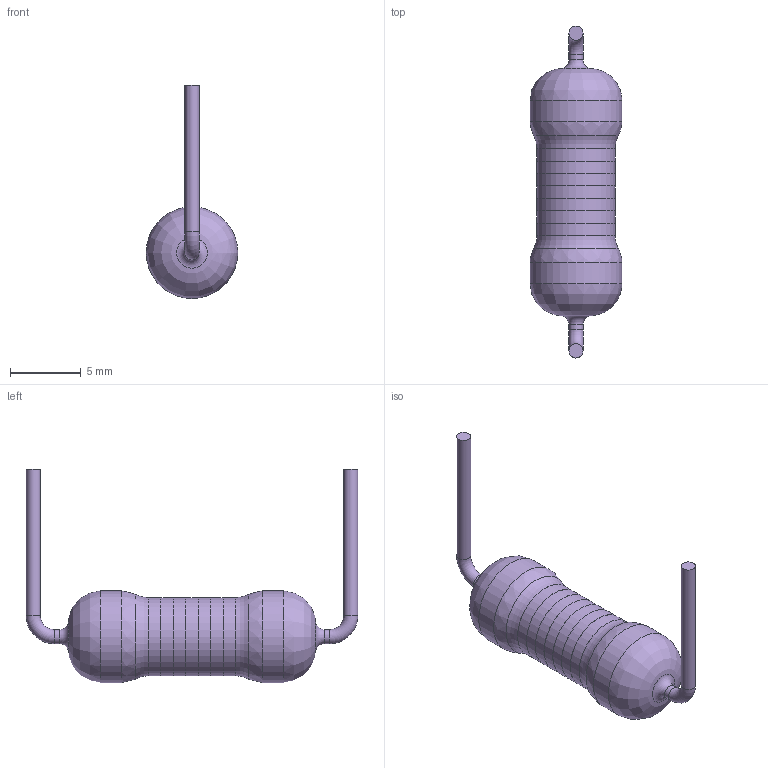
import cadquery as cq
import math


cap_radius = 6.5 / 2
core_radius = 5.53 / 2
body_half_length = 8.75
dome_radius = 2.25
cap_inner_y = 5.0
shoulder_radius = 2.1
core_fillet_radius = 2.0

band_radius = 5.54 / 2
band_count = 4
band_width = 0.88
band_pitch = 2 * band_width

lead_radius = 1.0 / 2
neck_fillet_radius = 0.625
lead_spacing = 22.5
bend_radius = 1.5
lead_top_z = 11.85


def arc_point(center, radius, angle):
    """Point (radial distance, y) on a circle; the angle starts at the radial direction."""
    return (center[0] + radius * math.cos(angle), center[1] + radius * math.sin(angle))


dome_center = (cap_radius - dome_radius, body_half_length - dome_radius)
neck_center_r = lead_radius + neck_fillet_radius
neck_angle = math.acos((neck_center_r - dome_center[0]) / (dome_radius + neck_fillet_radius))
neck_center = arc_point(dome_center, dome_radius + neck_fillet_radius, neck_angle)
neck_end_y = neck_center[1]

shoulder_center = (cap_radius - shoulder_radius, cap_inner_y)
core_fillet_center_r = core_radius + core_fillet_radius
shoulder_reach = shoulder_radius + core_fillet_radius
shoulder_angle = -math.acos((core_fillet_center_r - shoulder_center[0]) / shoulder_reach)
core_fillet_center = arc_point(shoulder_center, shoulder_reach, shoulder_angle)
core_half_length = core_fillet_center[1]


def make_cap():
    """The +Y cap, from the end of the straight core to the end of the neck."""
    core_fillet_mid = arc_point(core_fillet_center, core_fillet_radius, math.pi + shoulder_angle / 2)
    shoulder_mid = arc_point(shoulder_center, shoulder_radius, shoulder_angle / 2)
    shoulder_inner = arc_point(shoulder_center, shoulder_radius, shoulder_angle)
    dome_mid = arc_point(dome_center, dome_radius, neck_angle / 2)
    dome_end = arc_point(dome_center, dome_radius, neck_angle)
    neck_mid = arc_point(neck_center, neck_fillet_radius, math.pi + neck_angle / 2)
    return (
        cq.Workplane("XY")
        .moveTo(0, core_half_length)
        .lineTo(core_radius, core_half_length)
        .threePointArc(core_fillet_mid, shoulder_inner)
        .threePointArc(shoulder_mid, (cap_radius, cap_inner_y))
        .lineTo(cap_radius, dome_center[1])
        .threePointArc(dome_mid, dome_end)
        .threePointArc(neck_mid, (lead_radius, neck_end_y))
        .lineTo(0, neck_end_y)
        .close()
        .revolve(360, (0, 0), (0, 1))
    )


def make_disc(radius, start_y, length):
    """A round disc on the body axis that starts at start_y and grows toward +Y."""
    return cq.Workplane("XZ", origin=(0, start_y, 0)).circle(radius).extrude(-length)


def make_core():
    """The straight core between the two caps."""
    return make_disc(core_radius, -core_half_length, 2 * core_half_length)


def make_band(center_y):
    """A colour band, a disc slightly wider than the core."""
    return make_disc(band_radius, center_y - band_width / 2, band_width)


def make_lead():
    """The +Y lead: a short straight run, a quarter bend and the upright pin."""
    upright_y = lead_spacing / 2
    bend_start_y = upright_y - bend_radius
    bend_mid_offset = bend_radius * math.sin(math.pi / 4)
    bend_mid = (bend_start_y + bend_mid_offset, bend_radius - bend_mid_offset)
    path = (
        cq.Workplane("YZ")
        .moveTo(neck_end_y, 0)
        .lineTo(bend_start_y, 0)
        .threePointArc(bend_mid, (upright_y, bend_radius))
        .lineTo(upright_y, lead_top_z)
    )
    return cq.Workplane("XZ", origin=(0, neck_end_y, 0)).circle(lead_radius).sweep(path)


end = make_cap().union(make_lead())
result = make_core().union(end).union(end.mirror("XZ"))

for index in range(band_count):
    band_y = (index - (band_count - 1) / 2) * band_pitch
    result = result.union(make_band(band_y))